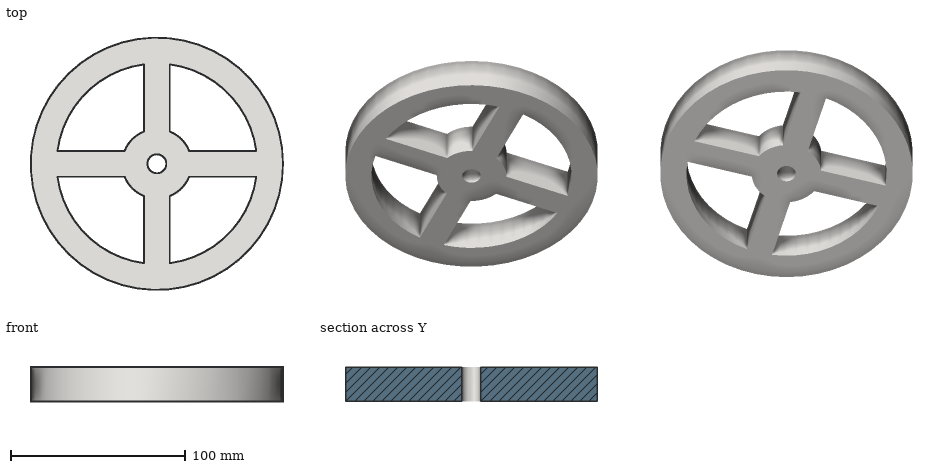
import cadquery as cq

wheel_diameter = 145.0
wheel_thickness = 20.0
opening_diameter = 115.0
hub_diameter = 40.0
spoke_width = 15.0
bore_diameter = 10.7


def make_rim():
    """Outer ring of the wheel."""
    return (
        cq.Workplane("XY")
        .circle(wheel_diameter / 2)
        .circle(opening_diameter / 2)
        .extrude(wheel_thickness)
    )


def make_spoke_bar(angle):
    """Bar across the wheel that forms two opposite spokes and ends inside the rim."""
    bar_length = (wheel_diameter + opening_diameter) / 2
    return (
        cq.Workplane("XY")
        .rect(bar_length, spoke_width)
        .extrude(wheel_thickness)
        .rotate((0, 0, 0), (0, 0, 1), angle)
    )


def make_hub():
    """Solid central disc, as thick as the rim."""
    return cq.Workplane("XY").circle(hub_diameter / 2).extrude(wheel_thickness)


wheel = make_rim().union(make_hub())
for spoke_angle in (0, 90):
    wheel = wheel.union(make_spoke_bar(spoke_angle))

result = wheel.faces(">Z").workplane(origin=(0, 0, 0)).hole(bore_diameter)